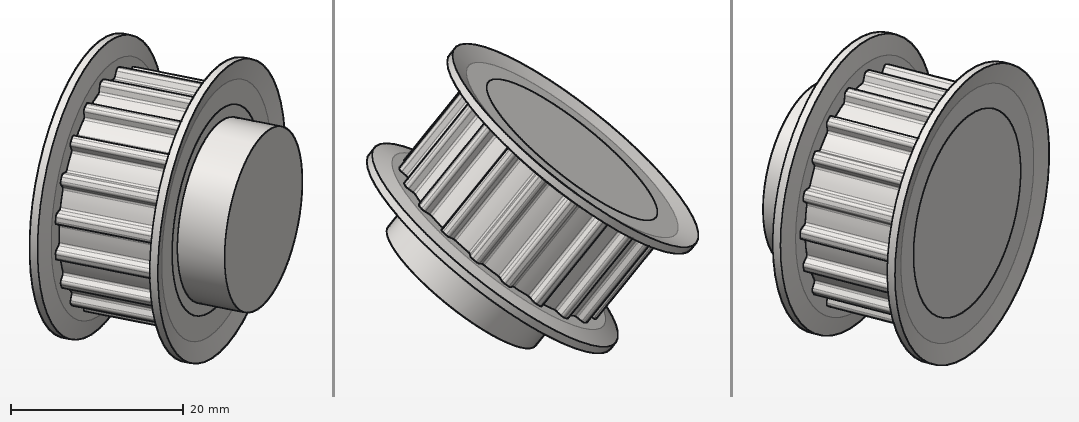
import cadquery as cq
import math


tooth_count = 19
tip_radius = 14.5
groove_depth = 1.15
root_radius = tip_radius - groove_depth
groove_bottom_width = 2.5
flank_angle = math.radians(27)
root_fillet = 0.325
tip_fillet = 0.45
toothed_length = 13.0

flange_diameter = 36.0
flange_seat_diameter = 25.0
flange_flat_diameter = 31.0
flange_thickness = 1.0
dish_angle = math.radians(15)

hub_diameter = 22.0
hub_length = 6.0

dish_depth = (flange_diameter - flange_flat_diameter) / 2 * math.tan(dish_angle)
body_start = dish_depth
teeth_start = body_start + flange_thickness
teeth_end = teeth_start + toothed_length
seat_end = teeth_end + flange_thickness


def axial_cylinder(diameter, x_start, length):
    """Solid cylinder along +X."""
    return cq.Workplane("YZ", origin=(x_start, 0, 0)).circle(diameter / 2).extrude(length)


def polar(radius, angle):
    """Point in the YZ plane; angle 0 lies on -Y and grows towards +Z."""
    return (-radius * math.cos(angle), radius * math.sin(angle))


def toothed_rim():
    """Rim with straight-flanked grooves; the first groove is centred on -Y."""
    pitch_angle = 2 * math.pi / tooth_count
    root_half_angle = math.asin(groove_bottom_width / 2 / root_radius)

    root_along_flank = root_radius * math.cos(root_half_angle - flank_angle)
    tip_along_flank = math.sqrt(root_along_flank ** 2 + tip_radius ** 2 - root_radius ** 2)
    flank_length = tip_along_flank - root_along_flank
    tip_half_width = groove_bottom_width / 2 + flank_length * math.sin(flank_angle)
    tip_half_angle = math.asin(tip_half_width / tip_radius)

    outline = cq.Workplane("YZ", origin=(teeth_start, 0, 0)).moveTo(*polar(root_radius, -root_half_angle))
    for index in range(tooth_count):
        groove_angle = index * pitch_angle
        next_groove_angle = groove_angle + pitch_angle
        outline = (
            outline
            .threePointArc(
                polar(root_radius, groove_angle),
                polar(root_radius, groove_angle + root_half_angle),
            )
            .lineTo(*polar(tip_radius, groove_angle + tip_half_angle))
            .threePointArc(
                polar(tip_radius, groove_angle + pitch_angle / 2),
                polar(tip_radius, next_groove_angle - tip_half_angle),
            )
        )
        if index < tooth_count - 1:
            outline = outline.lineTo(*polar(root_radius, next_groove_angle - root_half_angle))
    rim = outline.close().extrude(toothed_length)

    middle_radius = (root_radius + tip_radius) / 2

    def at_tip(edge):
        return math.hypot(edge.Center().y, edge.Center().z) > middle_radius

    def at_root(edge):
        return not at_tip(edge)

    rim = rim.edges("|X").filter(at_tip).fillet(tip_fillet)
    return rim.edges("|X").filter(at_root).fillet(root_fillet)


def pulley_body():
    """Toothed rim with a flange seat at each end and the hub on the +X side."""
    seat_core = axial_cylinder(flange_seat_diameter, body_start, seat_end - body_start)
    hub = axial_cylinder(hub_diameter, seat_end, hub_length)
    return toothed_rim().union(seat_core).union(hub)


def dished_flange():
    """Bent-sheet ring whose inner flat face is at X = 0 and whose rim leans towards -X."""
    seat_radius = flange_seat_diameter / 2
    outer_radius = flange_diameter / 2
    outer_bend_radius = flange_flat_diameter / 2
    inner_bend_radius = outer_bend_radius + flange_thickness * math.tan(dish_angle / 2)
    inner_rim_x = -(outer_radius - inner_bend_radius) * math.tan(dish_angle)
    return (
        cq.Workplane("XY")
        .polyline([
            (0, seat_radius),
            (0, inner_bend_radius),
            (inner_rim_x, outer_radius),
            (-flange_thickness - dish_depth, outer_radius),
            (-flange_thickness, outer_bend_radius),
            (-flange_thickness, seat_radius),
        ])
        .close()
        .revolve(360, (0, 0, 0), (1, 0, 0))
    )


body = pulley_body()
flanges = [
    dished_flange().translate((teeth_start, 0, 0)),
    dished_flange().mirror("YZ").translate((teeth_end, 0, 0)),
]

result = cq.Compound.makeCompound([body.val(), *[flange.val() for flange in flanges]])